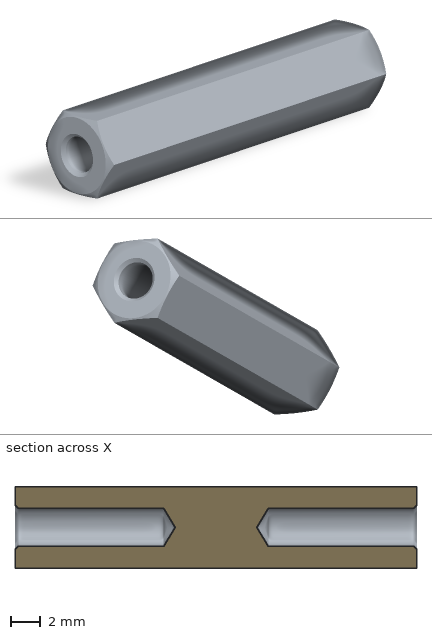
import cadquery as cq
import math

length = 27.0
across_flats = 5.5
across_corners = across_flats / math.cos(math.radians(30))

face_diameter = 5.35
corner_chamfer_angle = 30

hole_diameter = 2.5
hole_depth = 10.0
drill_point_angle = 118
mouth_diameter = 3.0
mouth_angle = 90


def cone_height(radius, included_angle):
    """Axial height over which a cone spans the given radius."""
    return radius / math.tan(math.radians(included_angle / 2))


def revolve_about_y(points):
    """Revolve an (X, Y) profile about the Y axis."""
    profile = cq.Workplane("XY").polyline(points).close()
    return profile.revolve(360, (0, 0, 0), (0, 1, 0))


def hexagonal_bar():
    bar = cq.Workplane("XZ").polygon(6, across_corners)
    return bar.extrude(length / 2, both=True)


def chamfer_envelope():
    """Turned body whose conical ends trim the hexagon corners."""
    face_radius = face_diameter / 2
    outer_radius = across_corners
    drop = (outer_radius - face_radius) * math.tan(math.radians(corner_chamfer_angle))
    end = length / 2
    return revolve_about_y([
        (0, -end),
        (face_radius, -end),
        (outer_radius, -end + drop),
        (outer_radius, end - drop),
        (face_radius, end),
        (0, end),
    ])


def end_hole():
    """Countersunk blind hole with a drill point, in the -Y end."""
    hole_radius = hole_diameter / 2
    mouth_radius = mouth_diameter / 2
    mouth_depth = cone_height(mouth_radius - hole_radius, mouth_angle)
    point_depth = cone_height(hole_radius, drill_point_angle)
    end = -length / 2
    return revolve_about_y([
        (0, end),
        (mouth_radius, end),
        (hole_radius, end + mouth_depth),
        (hole_radius, end + hole_depth),
        (0, end + hole_depth + point_depth),
    ])


near_hole = end_hole()
far_hole = near_hole.mirror("XZ")
result = hexagonal_bar().intersect(chamfer_envelope()).cut(near_hole).cut(far_hole)